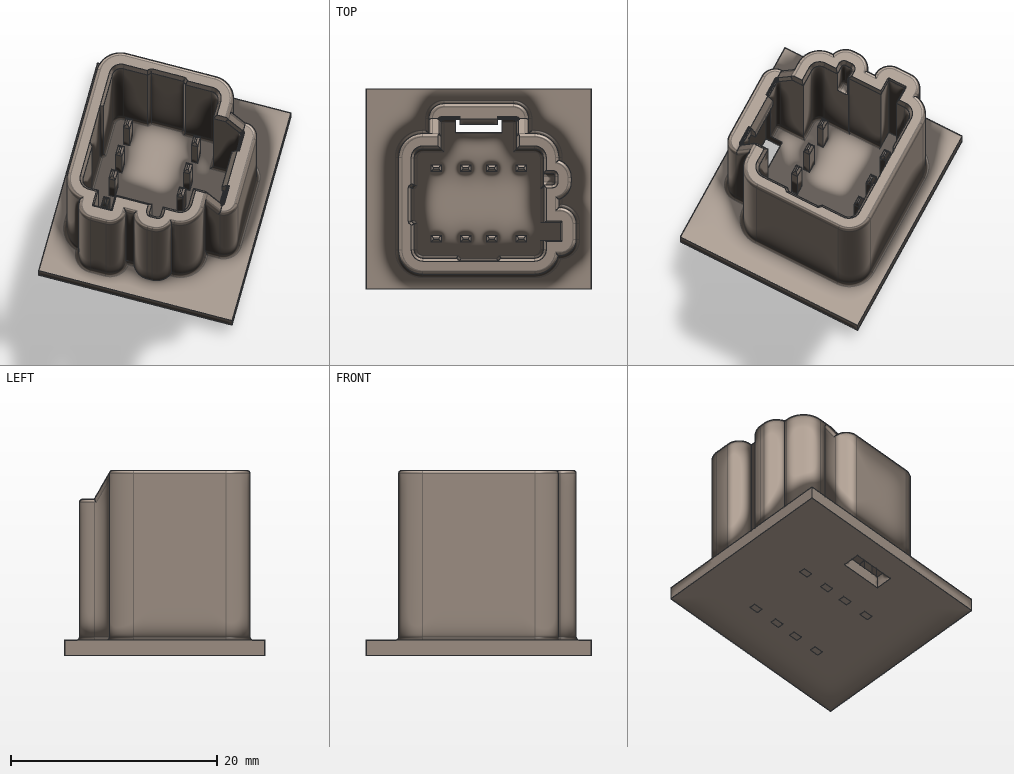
import cadquery as cq
import math

plate_length = 21.85
plate_width = 19.45
plate_height = 1.5
total_height = 18.0

shroud_half_length = 7.78
shroud_front = -8.28
shroud_back = 5.38
shroud_corner_radius = 2.34
outer_round = 0.33
key_lobe_end_x = 9.46
key_lobe_y = -4.13
key_lobe_width = 4.68
key_lobe_radius = 1.57
groove_lobe_end_x = 8.98
groove_lobe_y = 0.9
groove_lobe_width = 3.98
groove_lobe_radius = 1.75

tower_half_length = 4.83
tower_back = 8.28
tower_corner_radius = 1.45
tower_top = 15.2
slope_foot_y = tower_back - tower_corner_radius
tower_overlap = 0.09
slope_angle = 60.0

cavity_half_length = 6.27
cavity_front = -6.73
cavity_back = 3.9
cavity_corner_radius = 0.87
cavity_floor = plate_height
floor_round = 0.28
tower_cavity_half_length = 3.67
tower_cavity_back = 6.73
tower_cavity_corner_radius = 0.3
lead_in_angle = 30.0
tower_lead_in_angle = 45.0
lead_in_height = 0.5
small_lead_in_height = 0.22
tower_lead_in_height = 0.28
slope_lead_in_depth = 0.35

relief_depth = 0.28
front_relief_length = 4.28
side_relief_y = -1.5
side_relief_length = 3.8
right_wall_x = 6.34
right_wall_back = 0.3

groove_end_x = 7.4
groove_y = 0.96
groove_width = 1.11
groove_floor = 12.4
key_slot_end_x = 7.95
key_slot_y = -4.1
key_slot_width = 1.75

window_length = 4.5
window_front = 5.46
window_back = 7.25
latch_length = 3.67
latch_face_y = 6.25
latch_bottom = 13.0
latch_slope_height = 0.92
latch_top_y = 6.8
latch_round = 0.33

pin_columns = (-4.13, -1.27, 1.27, 4.13)
pin_rows = (2.0, -4.83)
pin_length = 1.0
pin_width = 0.63
pin_top = 7.43
pin_tip_height = 0.44
pin_tip_inset = 0.25


def block(x_min, x_max, y_min, y_max, z_min, z_max):
    """Box between two opposite corners."""
    size = (x_max - x_min, y_max - y_min, z_max - z_min)
    return cq.Workplane("XY").box(*size, centered=False).translate((x_min, y_min, z_min))


def lead_in(opening, top, height, angle=lead_in_angle):
    """Widening cut at the top of an upright opening, following the opening's outline."""
    outline = opening.faces("<Z").wires().val()
    shift = top - height - outline.Center().z
    flared = cq.Workplane("XY").add(outline.translate(cq.Vector(0, 0, shift))).toPending()
    return flared.extrude(height, taper=-angle)


def lobe(end_x, y, width, radius):
    """Column bulging out of the +X wall, with two rounded corners."""
    column = block(0, end_x, y - width / 2, y + width / 2, 0, total_height)
    return column.edges("|Z and >X").fillet(radius)


def tower_block(side_profile):
    """Solid with a closed (y, z) profile, as wide as the tower."""
    return cq.Workplane("YZ").polyline(side_profile).close().extrude(tower_half_length, both=True)


def tower_body():
    """Latch tower behind the shroud: a flat block and a wedge that slopes up to the shroud rim."""
    low_part = tower_block(
        [(cavity_back, 0), (tower_back, 0), (tower_back, tower_top), (cavity_back, tower_top)]
    )
    low_part = low_part.edges("|Z and >Y").fillet(tower_corner_radius)
    low_part = low_part.faces(">Z").edges("not <Y").fillet(outer_round)

    slope_rise = math.tan(math.radians(slope_angle))
    wedge_top = tower_top + (slope_foot_y - cavity_back) * slope_rise
    wedge_bottom = tower_top - (tower_back - slope_foot_y) * slope_rise
    wedge = tower_block(
        [(cavity_back, 0), (tower_back, 0), (tower_back, wedge_bottom), (cavity_back, wedge_top)]
    )
    slope_direction = cq.Vector(0, math.sin(math.radians(slope_angle)), math.cos(math.radians(slope_angle)))
    slope_face = cq.selectors.DirectionMinMaxSelector(slope_direction)
    wedge = wedge.faces(slope_face).edges("not |X").fillet(outer_round)
    wedge_zone = block(-tower_half_length, tower_half_length, 0, slope_foot_y, 0, wedge_top)

    joined_zone = block(
        -tower_half_length, tower_half_length, shroud_back - tower_overlap, tower_back, 0, total_height
    )
    return low_part.union(wedge.intersect(wedge_zone)).intersect(joined_zone)


def outer_body():
    """Plate, shroud, lobes and tower as one solid block, without the cavity."""
    shroud = block(
        -shroud_half_length, shroud_half_length, shroud_front, shroud_back, 0, total_height
    )
    shroud = shroud.edges("|Z").fillet(shroud_corner_radius)
    shroud = shroud.union(lobe(key_lobe_end_x, key_lobe_y, key_lobe_width, key_lobe_radius))
    tower = tower_body()
    plate_half_x = plate_length / 2
    plate_half_y = plate_width / 2
    plate = block(-plate_half_x, plate_half_x, -plate_half_y, plate_half_y, 0, plate_height)

    low_zone = block(-plate_half_x, plate_half_x, -plate_half_y, plate_half_y, 0, 2 * plate_height)
    foot = plate.union(shroud.union(tower).intersect(low_zone))
    foot_edges = cq.selectors.BoxSelector(
        (-plate_half_x + 0.22, -plate_half_y + 0.22, plate_height - 0.02),
        (plate_half_x - 0.22, plate_half_y - 0.22, plate_height + 0.02),
    )
    foot = foot.edges(foot_edges).fillet(outer_round)

    groove_lobe = lobe(groove_lobe_end_x, groove_lobe_y, groove_lobe_width, groove_lobe_radius)
    rounded_shroud = shroud.union(groove_lobe).faces(">Z").edges().fillet(outer_round)
    return foot.union(rounded_shroud).union(tower)


def wall_relief(length, depth):
    """Shallow 45-degree-ended relief along X, its mouth on the X axis and its back at -depth."""
    return (
        cq.Workplane("XY")
        .polyline(
            [
                (-length / 2, 0),
                (-length / 2 + depth, -depth),
                (length / 2 - depth, -depth),
                (length / 2, 0),
                (length / 2, depth),
                (-length / 2, depth),
            ]
        )
        .close()
        .extrude(total_height - cavity_floor)
    )


def main_cavity():
    """Cavity with its wall reliefs, rounded floor edges and lead-in faces at the rim."""
    main = block(
        -cavity_half_length, cavity_half_length, cavity_front, cavity_back, cavity_floor, total_height
    )
    main = main.edges("|Z").fillet(cavity_corner_radius)
    tower = block(
        -tower_cavity_half_length, tower_cavity_half_length, 0, tower_cavity_back,
        cavity_floor, total_height,
    )
    tower = tower.edges("|Z and >Y").fillet(tower_cavity_corner_radius)
    right_wall = block(0, right_wall_x, key_slot_y, right_wall_back, cavity_floor, total_height)
    side_relief = wall_relief(side_relief_length, relief_depth).rotate((0, 0, 0), (0, 0, 1), -90)
    side_relief = side_relief.translate((-cavity_half_length, side_relief_y, cavity_floor))
    front_relief = wall_relief(front_relief_length, relief_depth)
    front_relief = front_relief.translate((0, cavity_front, cavity_floor))

    cavity = main.union(tower).union(right_wall).union(side_relief).union(front_relief)
    cavity = cavity.faces("<Z").edges().fillet(floor_round)
    for opening in (main, tower, side_relief):
        cavity = cavity.union(lead_in(opening, total_height, lead_in_height))
    return cavity.union(lead_in(right_wall, total_height, small_lead_in_height))


def tower_lead_in():
    """Lead-in faces around the tower cavity, on the flat top and along the slope."""
    half = tower_cavity_half_length
    flat_opening = block(-half, half, tower_cavity_back - 2.18, tower_cavity_back, 0, tower_top)
    behind_slope = block(
        -tower_half_length, tower_half_length, tower_cavity_back, tower_back, 0, tower_top
    )
    flat_cut = lead_in(flat_opening, tower_top, tower_lead_in_height, tower_lead_in_angle)
    flat_cut = flat_cut.intersect(behind_slope)

    angle = math.radians(slope_angle)
    slope_normal = cq.Vector(0, math.sin(angle), math.cos(angle))
    slope_length = (slope_foot_y - shroud_back) / math.cos(angle)
    slope_middle_y = (slope_foot_y + shroud_back) / 2
    slope_middle_z = tower_top + (slope_foot_y - slope_middle_y) * math.tan(angle)
    surface = cq.Vector(0, slope_middle_y, slope_middle_z)
    sunken = surface - slope_normal * slope_lead_in_depth
    slope_cut = (
        cq.Workplane(cq.Plane(sunken, (1, 0, 0), slope_normal))
        .rect(2 * half, slope_length)
        .extrude(slope_lead_in_depth, taper=-lead_in_angle)
    )
    return flat_cut.union(slope_cut)


def groove():
    """Stopped polarising groove in the +X wall, with a rounded bottom."""
    y_min = groove_y - groove_width / 2
    y_max = groove_y + groove_width / 2
    channel = block(0, groove_end_x, y_min, y_max, groove_floor, total_height)
    channel = channel.edges("|Z and >X").fillet(floor_round)
    rim = lead_in(channel, total_height, lead_in_height)
    channel = channel.faces("<Z").edges().fillet(floor_round)
    return channel.union(rim)


def key_slot():
    """Full-depth key slot in the +X wall."""
    y_min = key_slot_y - key_slot_width / 2
    y_max = key_slot_y + key_slot_width / 2
    slot = block(0, key_slot_end_x, y_min, y_max, cavity_floor, total_height)
    return slot.union(lead_in(slot, total_height, small_lead_in_height))


def latch():
    """Ramped catch above the window."""
    ramp_foot_z = tower_top - latch_slope_height
    catch = (
        cq.Workplane("YZ")
        .moveTo(window_back, latch_bottom)
        .lineTo(latch_face_y, latch_bottom)
        .lineTo(latch_face_y, ramp_foot_z)
        .lineTo(latch_top_y, tower_top)
        .lineTo(window_back, tower_top)
        .close()
        .extrude(latch_length / 2, both=True)
    )
    ramp_edge = cq.selectors.NearestToPointSelector((0, latch_face_y, ramp_foot_z))
    return catch.edges(ramp_edge).fillet(latch_round)


def pin_solid(length, width, height):
    """Upright rectangular pin, centred on the origin, with a tapered tip."""
    shank_height = height - pin_tip_height
    shank = cq.Workplane("XY").rect(length, width).extrude(shank_height)
    tip = (
        cq.Workplane("XY", origin=(0, 0, shank_height))
        .rect(length, width)
        .workplane(offset=pin_tip_height)
        .rect(length - 2 * pin_tip_inset, width - 2 * pin_tip_inset)
        .loft()
    )
    return shank.union(tip)


pin_places = [(x, y) for x in pin_columns for y in pin_rows]
pins = [pin_solid(pin_length, pin_width, pin_top).translate((x, y, 0)) for x, y in pin_places]


def housing_body():
    """Hollow housing with the latch, the window and a hole for every pin."""
    housing = outer_body().cut(main_cavity()).cut(tower_lead_in()).cut(groove()).cut(key_slot())
    housing = housing.cut(
        block(-window_length / 2, window_length / 2, window_front, window_back, 0, latch_bottom)
    )
    housing = housing.union(latch())
    pin_holes = cq.Workplane("XY").pushPoints(pin_places).rect(pin_length, pin_width)
    return housing.cut(pin_holes.extrude(cavity_floor))


housing = housing_body()
result = cq.Compound.makeCompound([housing.val(), *[pin.val() for pin in pins]])